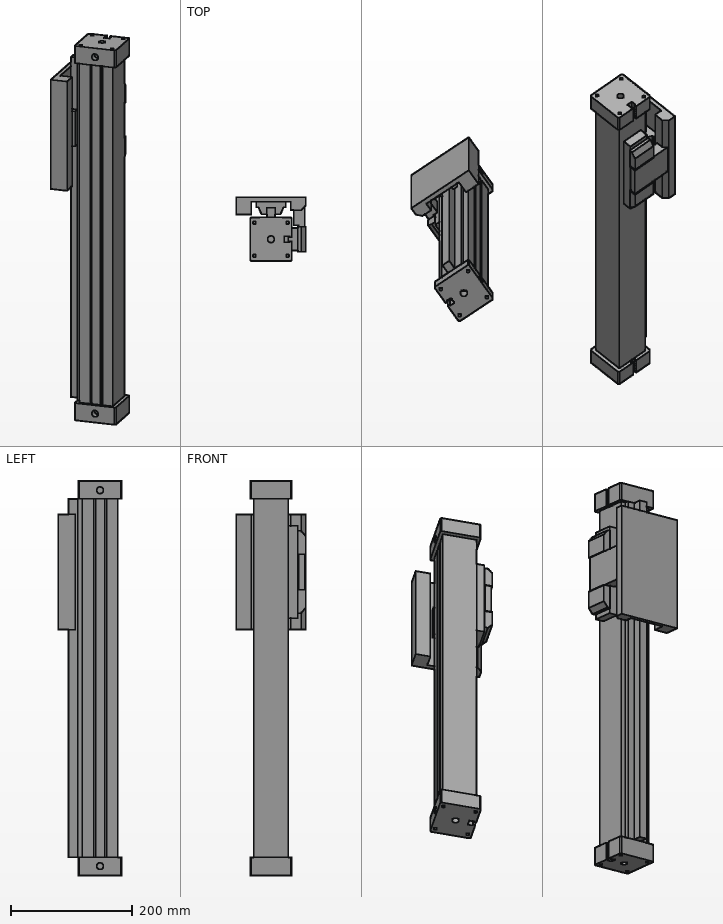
import cadquery as cq

TOTAL_LENGTH = 650.0
TOTAL_DEPTH = 105.0
CAP_LENGTH = 30.0
CAP_WIDTH = 69.0
CAP_DEPTH = 72.0
CAP_EDGE_CHAMFER = 2.0
RAIL_WIDTH = 57.0
RAIL_DEPTH = 58.5
SHOULDER_WIDTH = 39.0
SHOULDER_TOP = 36.5
RIDGE_WIDTH = 13.5
RIDGE_TOP = 52.0

GROOVE_WIDTH = 3.0
GROOVE_DEPTH = 3.0
GROOVE_OFFSET = 9.0

BORE_DIAMETER = 11.0
PORT_DIAMETER = 11.0
PORT_DEPTH = 13.0
PORT_FROM_END = 15.5
SCREW_DIAMETER = 4.95
SCREW_DEPTH = 13.0
SCREW_OFFSET = 27.0
SLOT_BOTTOM = 22.0
SLOT_HEAD_LENGTH = 8.5
SLOT_HEAD_WIDTH = 10.0
SLOT_NECK_WIDTH = 6.0

CARRIAGE_WIDTH = 115.0
CARRIAGE_LENGTH = 190.0
CARRIAGE_MIDDLE = 500.0
CARRIAGE_TOP = TOTAL_DEPTH - CAP_DEPTH / 2
CHANNEL_WIDTH = 65.0
PLATE_THICKNESS = 8.0
CHANNEL_FLOOR = CARRIAGE_TOP - PLATE_THICKNESS
LEFT_LEG_HEIGHT = 28.5
LEFT_LEG_END = CARRIAGE_TOP - LEFT_LEG_HEIGHT
RIGHT_LEG_HEIGHT = 21.5
RIGHT_LEG_END = CARRIAGE_TOP - RIGHT_LEG_HEIGHT
LEG_CHAMFER = 8.0

BEARING_LENGTH = 61.0
BEARING_WIDTH = 49.0
BEARING_STEP = 52.5
BEARING_TAPER_WIDTH = 41.5
BEARING_END_WIDTH = 31.0
BEARING_END = 41.0

BASE_LENGTH = 152.0
BASE_OUTER = 44.0
BASE_LOW = -19.0
BASE_HIGH = 19.0
BLOCK_LENGTH = 135.0
BLOCK_LOW = -21.0
BLOCK_HIGH = 21.0
BLOCK_CHAMFER_DEPTH = 8.0
BLOCK_CHAMFER_LENGTH = 9.0
BRACKET_LENGTH = 59.0
BRACKET_INNER = 37.0
BRACKET_OUTER = 56.0
BRACKET_FOOT = 23.0
BAR_INNER = 45.5
BAR_LOW = -19.5


def box(x_range, y_range, z_range):
    """Box between the given limits along X, Y and Z."""
    lengths = [high - low for low, high in (x_range, y_range, z_range)]
    corner = (x_range[0], y_range[0], z_range[0])
    return cq.Workplane("XY").box(*lengths, centered=False).translate(corner)


def span(length):
    """Limits along Z of a length centred on the carriage."""
    return (CARRIAGE_MIDDLE - length / 2, CARRIAGE_MIDDLE + length / 2)


def prism(points, z_range):
    """XY outline extruded between two heights."""
    low, high = z_range
    return cq.Workplane("XY").workplane(offset=low).polyline(points).close().extrude(high - low)


def make_profile():
    """Rail between the end caps, with its stepped ridge and side grooves."""
    z_range = (CAP_LENGTH, TOTAL_LENGTH - CAP_LENGTH)
    half_depth = RAIL_DEPTH / 2
    profile = box((-RAIL_WIDTH / 2, RAIL_WIDTH / 2), (-half_depth, half_depth), z_range)
    shoulder = box((-SHOULDER_WIDTH / 2, SHOULDER_WIDTH / 2), (half_depth, SHOULDER_TOP), z_range)
    ridge = box((-RIDGE_WIDTH / 2, RIDGE_WIDTH / 2), (SHOULDER_TOP, RIDGE_TOP), z_range)
    profile = profile.union(shoulder).union(ridge)
    for middle in (-GROOVE_OFFSET, GROOVE_OFFSET):
        groove = box(
            (-RAIL_WIDTH / 2, -RAIL_WIDTH / 2 + GROOVE_DEPTH),
            (middle - GROOVE_WIDTH / 2, middle + GROOVE_WIDTH / 2),
            z_range,
        )
        profile = profile.cut(groove)
    return profile


def make_top_cap():
    """End cap at the +Z end, with bore, screw holes, side port and T-slot."""
    z_range = (TOTAL_LENGTH - CAP_LENGTH, TOTAL_LENGTH)
    half_width = CAP_WIDTH / 2
    half_depth = CAP_DEPTH / 2
    cap = box((-half_width, half_width), (-half_depth, half_depth), z_range)
    cap = cap.edges("|Z").chamfer(CAP_EDGE_CHAMFER)
    end_face = cq.Workplane("XY").workplane(offset=TOTAL_LENGTH)
    bore = end_face.circle(BORE_DIAMETER / 2).extrude(-CAP_LENGTH)
    screw_holes = (
        end_face.rect(2 * SCREW_OFFSET, 2 * SCREW_OFFSET, forConstruction=True)
        .vertices()
        .circle(SCREW_DIAMETER / 2)
        .extrude(-SCREW_DEPTH)
    )
    port = (
        cq.Workplane("YZ")
        .workplane(offset=-half_width)
        .center(0, TOTAL_LENGTH - PORT_FROM_END)
        .circle(PORT_DIAMETER / 2)
        .extrude(PORT_DEPTH)
    )
    slot_head = box(
        (SLOT_BOTTOM, SLOT_BOTTOM + SLOT_HEAD_LENGTH),
        (-SLOT_HEAD_WIDTH / 2, SLOT_HEAD_WIDTH / 2),
        z_range,
    )
    slot_neck = box((SLOT_BOTTOM, half_width), (-SLOT_NECK_WIDTH / 2, SLOT_NECK_WIDTH / 2), z_range)
    return cap.cut(bore).cut(screw_holes).cut(port).cut(slot_head).cut(slot_neck)


def make_rail():
    """Rail body: the profile closed by two mirrored end caps."""
    top_cap = make_top_cap()
    bottom_cap = top_cap.mirror("XY", (0, 0, TOTAL_LENGTH / 2))
    return make_profile().union(top_cap).union(bottom_cap)


def make_plate():
    """Carriage plate with a long left leg and a short chamfered right leg."""
    half_width = CARRIAGE_WIDTH / 2
    half_channel = CHANNEL_WIDTH / 2
    outline = [
        (-half_width, CARRIAGE_TOP),
        (-half_width, LEFT_LEG_END),
        (-half_channel, LEFT_LEG_END),
        (-half_channel, CHANNEL_FLOOR),
        (half_channel, CHANNEL_FLOOR),
        (half_channel, RIGHT_LEG_END),
        (half_width - LEG_CHAMFER, RIGHT_LEG_END),
        (half_width, RIGHT_LEG_END + LEG_CHAMFER),
        (half_width, CARRIAGE_TOP),
    ]
    return prism(outline, span(CARRIAGE_LENGTH))


def make_bearing():
    """Tapered bearing with a channel that fits the ridge."""
    half_outline = [
        (RIDGE_WIDTH / 2, RIDGE_TOP),
        (RIDGE_WIDTH / 2, BEARING_END),
        (BEARING_END_WIDTH / 2, BEARING_END),
        (BEARING_TAPER_WIDTH / 2, BEARING_STEP),
        (BEARING_WIDTH / 2, BEARING_STEP),
        (BEARING_WIDTH / 2, CHANNEL_FLOOR),
    ]
    mirrored = [(-x, y) for x, y in reversed(half_outline)]
    return prism(half_outline + mirrored, span(BEARING_LENGTH))


def make_side_unit():
    """Base plate beside the rail, two chamfered end blocks and the bracket between them."""
    base = box((RAIL_WIDTH / 2, BASE_OUTER), (BASE_LOW, BASE_HIGH), span(BASE_LENGTH))
    outer = CARRIAGE_WIDTH / 2
    bottom, top = span(BLOCK_LENGTH)
    block_outline = [
        (BASE_OUTER, bottom),
        (outer - BLOCK_CHAMFER_DEPTH, bottom),
        (outer, bottom + BLOCK_CHAMFER_LENGTH),
        (outer, top - BLOCK_CHAMFER_LENGTH),
        (outer - BLOCK_CHAMFER_DEPTH, top),
        (BASE_OUTER, top),
    ]
    blocks = (
        cq.Workplane("XZ")
        .workplane(offset=-BLOCK_HIGH)
        .polyline(block_outline)
        .close()
        .extrude(BLOCK_HIGH - BLOCK_LOW)
    )
    gap = box((BASE_OUTER, outer), (BLOCK_LOW, BLOCK_HIGH), span(BRACKET_LENGTH))
    bracket_outline = [
        (BRACKET_INNER, BRACKET_FOOT),
        (BAR_INNER, BRACKET_FOOT),
        (BAR_INNER, BAR_LOW),
        (BRACKET_OUTER, BAR_LOW),
        (BRACKET_OUTER, CARRIAGE_TOP),
        (BRACKET_INNER, CARRIAGE_TOP),
    ]
    bracket = prism(bracket_outline, span(BRACKET_LENGTH))
    return base.union(blocks.cut(gap)).union(bracket)


def make_carriage():
    """Carriage body: plate, bearing and side unit in one piece."""
    return make_plate().union(make_bearing()).union(make_side_unit())


rail = make_rail()
carriage = make_carriage()
result = cq.Compound.makeCompound([rail.solids().val(), carriage.solids().val()])